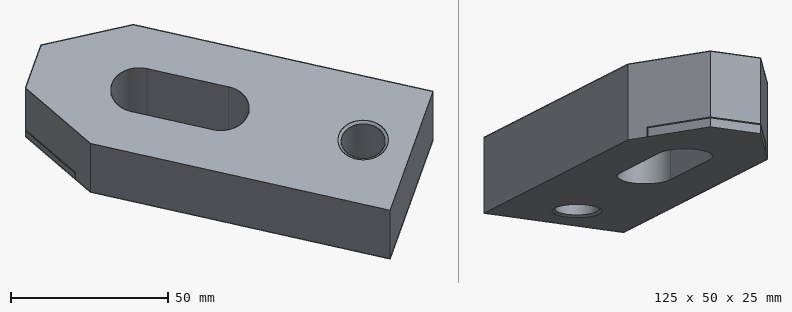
import cadquery as cq

length = 125.0
width = 50.0
height = 25.0
nose_length = 26.0
nose_width = 18.0

slot_length = 45.0
slot_width = 18.0

hole_diameter = 14.0
hole_rim_diameter = 16.0
hole_end_distance = 16.0
hole_chamfer_depth = 0.6

pad_length = 19.8
pad_height = 3.0
groove_width = 0.2
groove_depth = 0.1


def nose_prism(prism_height, inset=0.0):
    """Plate with a tapered nose, its nose and tapered sides moved inward by inset."""
    half_width = width / 2
    half_nose = nose_width / 2
    outline = (
        cq.Workplane("XY")
        .moveTo(0, -half_nose)
        .lineTo(nose_length, -half_width)
        .lineTo(length, -half_width)
        .lineTo(length, half_width)
        .lineTo(nose_length, half_width)
        .lineTo(0, half_nose)
        .close()
    )
    if inset > 0:
        outline = outline.offset2D(-inset, "intersection")
    return outline.extrude(prism_height)


def box_from_nose(box_length, box_height):
    """Full-width box that starts at the nose tip and rests on the underside."""
    return cq.Workplane("XY").box(
        box_length, width, box_height, centered=(False, True, False)
    )


def pad_groove():
    """L-shaped band around the pad, kept only near the outer faces."""
    band = box_from_nose(pad_length + groove_width, pad_height + groove_width)
    band = band.cut(box_from_nose(pad_length, pad_height))
    return band.cut(nose_prism(height, groove_depth))


def clearance_slot():
    slot_center = nose_length + slot_length / 2
    return (
        cq.Workplane("XY")
        .center(slot_center, 0)
        .slot2D(slot_length, slot_width)
        .extrude(height)
    )


def chamfered_hole():
    """Through hole with a shallow chamfer at both ends."""
    core_radius = hole_diameter / 2
    rim_radius = hole_rim_diameter / 2
    profile = (
        cq.Workplane("XZ")
        .moveTo(0, 0)
        .lineTo(rim_radius, 0)
        .lineTo(core_radius, hole_chamfer_depth)
        .lineTo(core_radius, height - hole_chamfer_depth)
        .lineTo(rim_radius, height)
        .lineTo(0, height)
        .close()
    )
    hole = profile.revolve(360, (0, 0, 0), (0, 1, 0))
    return hole.translate((length - hole_end_distance, 0, 0))


result = (
    nose_prism(height)
    .cut(clearance_slot())
    .cut(chamfered_hole())
    .cut(pad_groove())
)